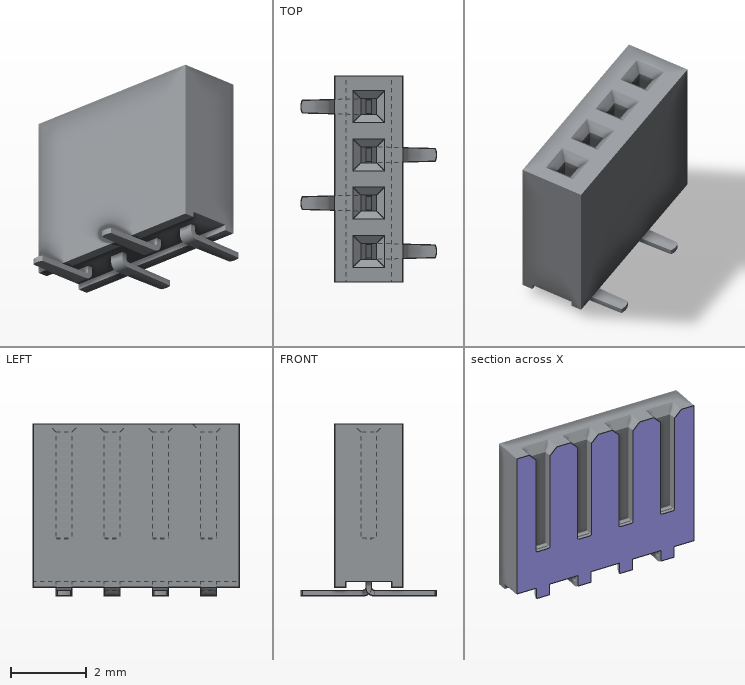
import cadquery as cq
import math

CONTACT_COUNT = 4
PITCH = 1.27
BODY_WIDTH = 1.8
BODY_LENGTH = 5.43
OVERALL_HEIGHT = 4.53
STANDOFF = 0.23
GROOVE_WIDTH = 1.2
GROOVE_DEPTH = 0.15

SOCKET_MOUTH = 0.84
SOCKET_WIDTH = 0.42
SOCKET_DEPTH = 3.0
LEAD_IN_DEPTH = (SOCKET_MOUTH - SOCKET_WIDTH) / 2

CONTACT_THICKNESS = 0.15
CONTACT_WIDTH = 0.42
CONTACT_END_WIDTH = 0.36
TAIL_TIP_WIDTH = 0.34
TAIL_SPAN = 3.58
TIP_BULGE = 0.04
BEND_INNER_RADIUS = 0.075
STEM_EMBED = 0.1

GROOVE_TOP = STANDOFF + GROOVE_DEPTH
CONTACT_END_DEPTH = (CONTACT_WIDTH - CONTACT_END_WIDTH) / 2
BEND_OUTER_RADIUS = BEND_INNER_RADIUS + CONTACT_THICKNESS


def make_housing():
    """Rectangular block with a groove along its underside."""
    block = (
        cq.Workplane("XY", origin=(0, 0, STANDOFF))
        .rect(BODY_WIDTH, BODY_LENGTH)
        .extrude(OVERALL_HEIGHT - STANDOFF)
    )
    groove = (
        cq.Workplane("XY", origin=(0, 0, STANDOFF))
        .rect(GROOVE_WIDTH, BODY_LENGTH)
        .extrude(GROOVE_DEPTH)
    )
    return block.cut(groove)


def make_socket(y):
    """Square hole with a 45 degree lead-in and a shallow recess over the contact end."""
    floor_z = OVERALL_HEIGHT - SOCKET_DEPTH
    hole = (
        cq.Workplane("XY", origin=(0, y, floor_z))
        .rect(SOCKET_WIDTH, SOCKET_WIDTH)
        .extrude(SOCKET_DEPTH)
    )
    lead_in = (
        cq.Workplane("XY", origin=(0, y, OVERALL_HEIGHT))
        .rect(SOCKET_MOUTH, SOCKET_MOUTH)
        .workplane(offset=-LEAD_IN_DEPTH)
        .rect(SOCKET_WIDTH, SOCKET_WIDTH)
        .loft(ruled=True)
    )
    recess = (
        cq.Workplane("XY", origin=(0, y, floor_z))
        .rect(CONTACT_THICKNESS, CONTACT_WIDTH)
        .workplane(offset=-CONTACT_END_DEPTH)
        .rect(CONTACT_THICKNESS, CONTACT_END_WIDTH)
        .loft(ruled=True)
    )
    return hole.union(lead_in).union(recess)


def make_contact(y, side):
    """Stem bent into a flat tapered tail; side is +1 or -1 for the X direction of the tail."""
    half_thickness = CONTACT_THICKNESS / 2
    half_width = CONTACT_WIDTH / 2
    half_tip = TAIL_TIP_WIDTH / 2
    stem_top = GROOVE_TOP + STEM_EMBED
    bend_x = half_thickness + BEND_INNER_RADIUS
    bend_z = BEND_OUTER_RADIUS
    tip_x = TAIL_SPAN / 2
    diagonal = math.sqrt(0.5)

    profile = (
        cq.Workplane("XZ", origin=(0, y + half_width, 0))
        .moveTo(-side * half_thickness, stem_top)
        .lineTo(-side * half_thickness, bend_z)
        .threePointArc(
            (side * (bend_x - BEND_OUTER_RADIUS * diagonal), bend_z - BEND_OUTER_RADIUS * diagonal),
            (side * bend_x, 0),
        )
        .lineTo(side * tip_x, 0)
        .lineTo(side * tip_x, CONTACT_THICKNESS)
        .lineTo(side * bend_x, CONTACT_THICKNESS)
        .threePointArc(
            (side * (bend_x - BEND_INNER_RADIUS * diagonal), bend_z - BEND_INNER_RADIUS * diagonal),
            (side * half_thickness, bend_z),
        )
        .lineTo(side * half_thickness, stem_top)
        .close()
        .extrude(CONTACT_WIDTH)
    )
    plan_outline = (
        cq.Workplane("XY", origin=(0, y, 0))
        .moveTo(-side * half_thickness, half_width)
        .lineTo(side * bend_x, half_width)
        .lineTo(side * (tip_x - TIP_BULGE), half_tip)
        .threePointArc((side * tip_x, 0), (side * (tip_x - TIP_BULGE), -half_tip))
        .lineTo(side * bend_x, -half_width)
        .lineTo(-side * half_thickness, -half_width)
        .close()
        .extrude(stem_top)
    )
    return profile.intersect(plan_outline)


result = make_housing()
for index in range(CONTACT_COUNT):
    contact_y = (index - (CONTACT_COUNT - 1) / 2) * PITCH
    tail_side = 1 if index % 2 == 0 else -1
    result = result.cut(make_socket(contact_y))
    result = result.union(make_contact(contact_y, tail_side))